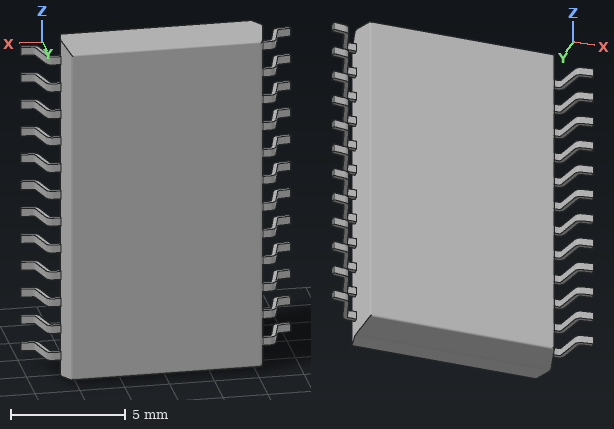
import cadquery as cq
import math

body_length = 15.85
body_width = 9.0
half_shell_depth = 1.2
draft_angle = 12.0
face_edge_radius = 0.1

leads_per_side = 12
lead_pitch = 1.27
lead_width = 0.38
lead_thickness = 0.2
lead_span = 12.05
lead_drop = 1.58
bend_inner_radius = 0.1
leg_angle = 75.0
foot_angle = 7.0
foot_length = 0.54
lead_embed = 0.48


def make_half_shell(side):
    """Drafted body half with rounded face edges; side is +1 for +Y and -1 for -Y."""
    face = ">Y" if side > 0 else "<Y"
    return (
        cq.Workplane("XZ", origin=(0, side * lead_thickness / 2, 0))
        .rect(body_width, body_length)
        .extrude(-side * half_shell_depth, taper=draft_angle)
        .faces(face)
        .edges()
        .fillet(face_edge_radius)
    )


def make_body():
    """Straight band at lead level between two drafted halves."""
    band = cq.Workplane("XY").box(body_width, lead_thickness, body_length)
    return band.union(make_half_shell(1)).union(make_half_shell(-1))


def make_lead():
    """Gull-wing lead on the +X side, centred on Z = 0, swept along its centreline."""
    leg = math.radians(leg_angle)
    foot = math.radians(foot_angle)
    half_thickness = lead_thickness / 2
    bend_radius = bend_inner_radius + half_thickness

    tip_x = lead_span / 2 - half_thickness * math.sin(foot)
    tip_y = half_thickness - lead_drop + half_thickness * math.cos(foot)

    foot_x = tip_x - foot_length * math.cos(foot)
    foot_y = tip_y + foot_length * math.sin(foot)
    lower_center_x = foot_x + bend_radius * math.sin(foot)
    lower_center_y = foot_y + bend_radius * math.cos(foot)

    def lower_bend_point(angle):
        return (
            lower_center_x - bend_radius * math.sin(angle),
            lower_center_y - bend_radius * math.cos(angle),
        )

    leg_end_x, leg_end_y = lower_bend_point(leg)
    leg_start_y = -bend_radius * (1 - math.cos(leg))
    leg_start_x = leg_end_x - (leg_start_y - leg_end_y) / math.tan(leg)
    shoulder_x = leg_start_x - bend_radius * math.sin(leg)
    upper_bend_middle = (
        shoulder_x + bend_radius * math.sin(leg / 2),
        -bend_radius * (1 - math.cos(leg / 2)),
    )

    root_x = body_width / 2 - lead_embed
    centreline = (
        cq.Workplane("XY")
        .moveTo(root_x, 0)
        .lineTo(shoulder_x, 0)
        .threePointArc(upper_bend_middle, (leg_start_x, leg_start_y))
        .lineTo(leg_end_x, leg_end_y)
        .threePointArc(lower_bend_point((leg + foot) / 2), (foot_x, foot_y))
        .lineTo(tip_x, tip_y)
    )
    return (
        cq.Workplane("YZ", origin=(root_x, 0, 0))
        .rect(lead_thickness, lead_width)
        .sweep(centreline)
    )


right_lead = make_lead()
left_lead = right_lead.mirror("YZ")

result = make_body()
for index in range(leads_per_side):
    lead_z = (index - (leads_per_side - 1) / 2) * lead_pitch
    for lead in (right_lead, left_lead):
        result = result.union(lead.translate((0, 0, lead_z)))